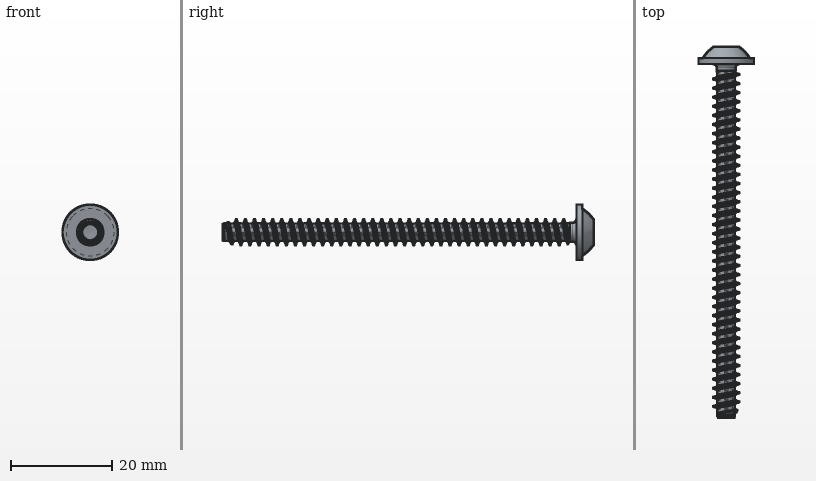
import cadquery as cq
import math


flange_diameter = 11.0
flange_thickness = 1.2
head_height = 3.5
dome_base_radius = 4.7
dome_top_radius = 2.5
dome_arc_radius = 8.0

shank_length = 70.0
neck_radius = 1.9
neck_end = 1.2
neck_fillet = 0.7
core_radius = 1.78
tip_radius = 1.6
tip_taper_length = 0.4
dimple_depth = 0.1

pitch = 1.8
crest_radius = 2.6
crest_width = 0.08
shoulder_radius = 2.1
shoulder_width = 0.3
root_width = 1.0
root_sink = 0.1
thread_start = 1.2
lead_in_length = 0.7
lead_out_length = 2.0
bare_tip_length = 0.5
thread_end = shank_length - bare_tip_length
thread_start_angle = 195.0


def revolve_about_y(outline):
    """Turn a closed half-outline (X = radius, Y = axial position) about the Y axis."""
    return outline.close().revolve(360, (0, 0, 0), (0, 1, 0))


def make_head_and_shank():
    """Domed flange head, filleted neck and plain core with a dimpled tip."""
    flange_radius = flange_diameter / 2
    fillet_edge_radius = neck_radius + neck_fillet
    fillet_mid_offset = neck_fillet * (1 - math.sqrt(0.5))
    step = neck_radius - core_radius
    outline = (
        cq.Workplane("XY")
        .moveTo(0, head_height)
        .lineTo(dome_top_radius, head_height)
        .radiusArc((dome_base_radius, flange_thickness), dome_arc_radius)
        .lineTo(flange_radius, flange_thickness)
        .lineTo(flange_radius, 0)
        .lineTo(fillet_edge_radius, 0)
        .threePointArc(
            (neck_radius + fillet_mid_offset, -fillet_mid_offset),
            (neck_radius, -neck_fillet),
        )
        .lineTo(neck_radius, -neck_end)
        .lineTo(core_radius, -neck_end - step)
        .lineTo(core_radius, -shank_length + tip_taper_length)
        .lineTo(tip_radius, -shank_length)
        .lineTo(0, -shank_length + dimple_depth)
    )
    return revolve_about_y(outline)


def make_thread_envelope():
    """Solid that tapers the thread crest down to the core at both ends."""
    inner_radius = core_radius - root_sink
    outer_radius = crest_radius + root_sink
    outline = (
        cq.Workplane("XY")
        .moveTo(0, -thread_start)
        .lineTo(inner_radius, -thread_start)
        .lineTo(outer_radius, -thread_start - lead_in_length)
        .lineTo(outer_radius, -thread_end + lead_out_length)
        .lineTo(inner_radius, -thread_end)
        .lineTo(0, -thread_end)
    )
    return revolve_about_y(outline)


def make_thread():
    """Right-handed ridge with a sharp crest on a flared foot, sunk a little into the core."""
    helix_length = thread_end - thread_start
    inner_radius = core_radius - root_sink
    half_root = root_width / 2
    half_shoulder = shoulder_width / 2
    half_crest = crest_width / 2
    path = cq.Wire.makeHelix(pitch, helix_length, core_radius)
    section = cq.Workplane("XZ").polyline(
        [
            (inner_radius, -half_root),
            (shoulder_radius, -half_shoulder),
            (crest_radius, -half_crest),
            (crest_radius, half_crest),
            (shoulder_radius, half_shoulder),
            (inner_radius, half_root),
        ]
    ).close()
    ridge = section.sweep(cq.Workplane(obj=path), isFrenet=True)
    upright = ridge.rotate((0, 0, 0), (0, 0, 1), thread_start_angle)
    along_shank = upright.rotate((0, 0, 0), (1, 0, 0), 90)
    return along_shank.translate((0, -thread_start, 0)).intersect(make_thread_envelope())


result = make_head_and_shank().union(make_thread())